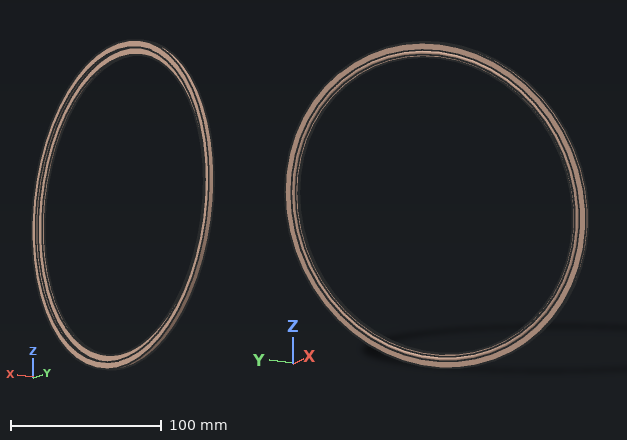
import cadquery as cq

total_width = 5.7
outer_radius = 109.7
inner_radius = 100.0
bead_radius = 1.5
bead_center_radius = 103.3
web_thickness = 2.2

back_x = total_width / 2
bead_tip_x = -total_width / 2
face_x = bead_tip_x + bead_radius
web_back_x = face_x + web_thickness
bead_outer_radius = bead_center_radius + bead_radius
bead_inner_radius = bead_center_radius - bead_radius

profile = (
    cq.Workplane("XY")
    .moveTo(web_back_x, inner_radius)
    .lineTo(web_back_x, bead_outer_radius)
    .lineTo(back_x, bead_outer_radius)
    .lineTo(back_x, outer_radius)
    .lineTo(face_x, outer_radius)
    .lineTo(face_x, bead_outer_radius)
    .threePointArc((bead_tip_x, bead_center_radius), (face_x, bead_inner_radius))
    .lineTo(face_x, inner_radius)
    .close()
)

result = profile.revolve(360, (0, 0, 0), (1, 0, 0))